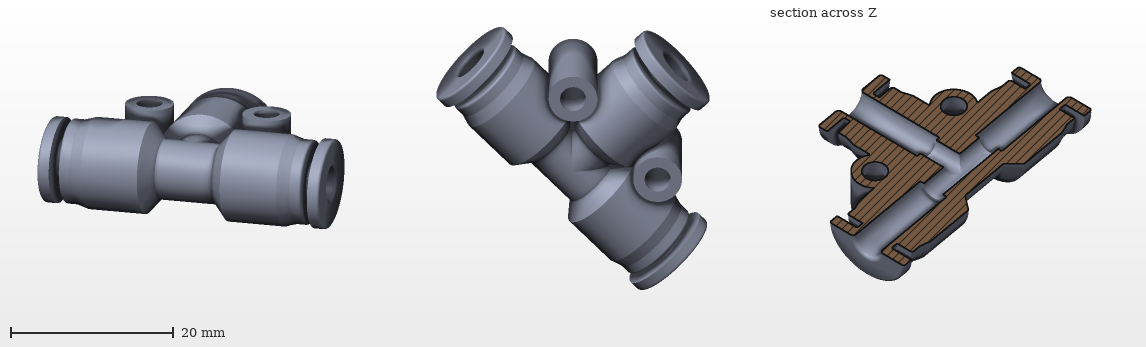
import cadquery as cq


port_reach = 18.0
collar_thickness = 1.5
collar_width = 12.0
collar_height = 10.5
collar_rim_fillet = 0.3
stem_diameter = 5.6
stem_root_fillet = 0.2
collar_gap = 1.0

cap_diameter = 10.5
cap_length = 1.5
cap_rim_fillet = 0.3
shoulder_length = 1.5
body_diameter = 11.4
body_inner_end = 5.3
neck_inner_end = 3.6
tube_diameter = 7.5

tube_socket_diameter = 4.2
socket_mouth_fillet = 0.5
flow_bore_diameter = 3.0

eyelet_offset = 7.5
eyelet_diameter = 6.0
eyelet_hole_diameter = 3.2
eyelet_height = 11.6
web_thickness = 4.2

ports = [(0, 22.0), (90, 0.0), (180, 0.0)]

collar_inner_face = port_reach - collar_thickness
body_outer_face = collar_inner_face - collar_gap
shoulder_outer_end = body_outer_face - cap_length
shoulder_inner_end = shoulder_outer_end - shoulder_length
socket_inner_end = body_inner_end
eyelet_positions = (-eyelet_offset, eyelet_offset)


def cylinder_along_x(diameter, start, end):
    """Round bar on the X axis between two axial positions."""
    return cq.Workplane("YZ", origin=(start, 0, 0)).circle(diameter / 2).extrude(end - start)


def make_body():
    """Tube, neck cone, barrel, shoulder and round-edged cap, turned about the X axis."""
    barrel = (
        cq.Workplane("XY")
        .polyline([
            (0, 0),
            (0, tube_diameter / 2),
            (neck_inner_end, tube_diameter / 2),
            (body_inner_end, body_diameter / 2),
            (shoulder_inner_end, body_diameter / 2),
            (shoulder_outer_end, cap_diameter / 2),
            (body_outer_face, cap_diameter / 2),
            (body_outer_face, 0),
        ])
        .close()
        .revolve(360, (0, 0, 0), (1, 0, 0))
    )
    return barrel.faces(">X").edges().fillet(cap_rim_fillet)


def make_collar(twist):
    """Oval disc with a rounded outer rim and its filleted stem."""
    disc = (
        cq.Workplane("YZ", origin=(collar_inner_face, 0, 0))
        .ellipse(collar_width / 2, collar_height / 2)
        .extrude(collar_thickness)
        .faces(">X")
        .edges()
        .fillet(collar_rim_fillet)
        .rotate((0, 0, 0), (1, 0, 0), twist)
    )
    stem_radius = stem_diameter / 2
    root_radius = stem_radius + stem_root_fillet
    stem = (
        cq.Workplane("XY")
        .moveTo(body_outer_face, 0)
        .lineTo(body_outer_face, stem_radius)
        .lineTo(collar_inner_face - stem_root_fillet, stem_radius)
        .radiusArc((collar_inner_face, root_radius), -stem_root_fillet)
        .lineTo(collar_inner_face, 0)
        .close()
        .revolve(360, (0, 0, 0), (1, 0, 0))
    )
    return disc.union(stem)


def make_bore():
    """Flow passage and tube socket with a rounded mouth."""
    socket_radius = tube_socket_diameter / 2
    mouth_radius = socket_radius + socket_mouth_fillet
    socket = (
        cq.Workplane("XY")
        .moveTo(socket_inner_end, 0)
        .lineTo(socket_inner_end, socket_radius)
        .lineTo(port_reach - socket_mouth_fillet, socket_radius)
        .radiusArc((port_reach, mouth_radius), -socket_mouth_fillet)
        .lineTo(port_reach, 0)
        .close()
        .revolve(360, (0, 0, 0), (1, 0, 0))
    )
    return socket.union(cylinder_along_x(flow_bore_diameter, 0, socket_inner_end))


def make_eyelet(x, diameter):
    """Upright cylinder at one of the two mounting positions."""
    return (
        cq.Workplane("XY", origin=(x, eyelet_offset, -eyelet_height / 2))
        .circle(diameter / 2)
        .extrude(eyelet_height)
    )


def make_web():
    """Flat plate filling the corners of the tee out to the eyelet centres."""
    return cq.Workplane("XY").box(
        2 * eyelet_offset, eyelet_offset, web_thickness, centered=(True, False, True)
    )


def turn(shape, direction):
    """Point a shape built along +X in a port direction."""
    return shape.rotate((0, 0, 0), (0, 0, 1), direction)


result = make_web()
for direction, collar_twist in ports:
    port = make_body().union(make_collar(collar_twist))
    result = result.union(turn(port, direction))
for x in eyelet_positions:
    result = result.union(make_eyelet(x, eyelet_diameter))

for direction, _ in ports:
    result = result.cut(turn(make_bore(), direction))
for x in eyelet_positions:
    result = result.cut(make_eyelet(x, eyelet_hole_diameter))